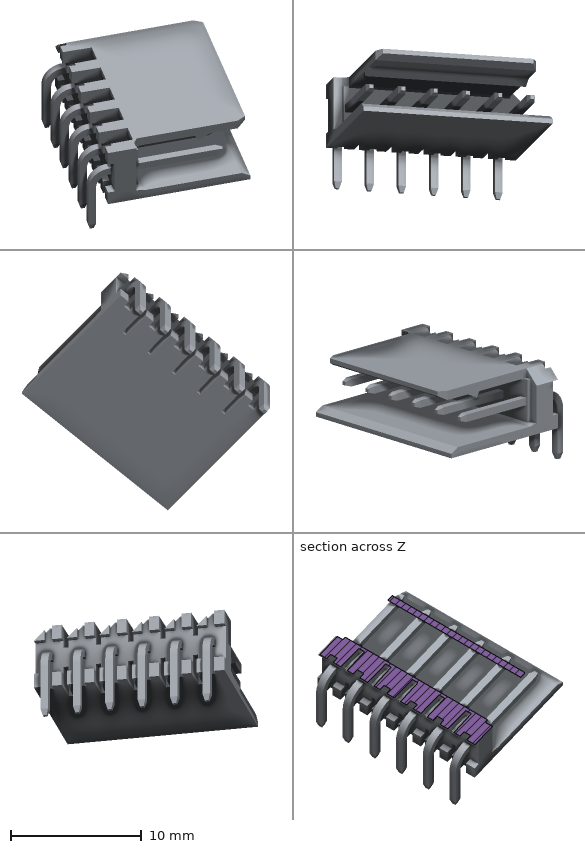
import cadquery as cq
import math


width = 14.94
height = 5.0
length = 11.3
half_width = width / 2

wall_rear = 0.52
wall_front = 2.27
pad_front = 2.57
pad_inset = 0.69
pad_bottom = 0.85

plate_thickness = 0.75
plate_root_end = 2.9
plate_inset = 1.14
lead_in_length = 0.69
tip_thickness = 0.36
corner_cut = 0.4
plate_underside = height - plate_thickness

barb_rear = 7.23
barb_tip = 7.51
barb_front = 8.44
barb_depth = 0.46

flange_height = 1.14
slot_rear_width = 0.42
slot_draft_degrees = 1.0
slot_depth = 1.7
bevel = 1.14
slot_taper = wall_front * math.tan(math.radians(slot_draft_degrees))

pin_count = 6
pitch = 2.54
pin_size = 0.6
pin_front = 9.4
pin_rear = -1.31
pin_bottom = -2.9
bend_radius = 1.63
point_length = 0.51
point_size = 0.3
pin_top = height / 2 + pin_size / 2
pin_positions = [(i - (pin_count - 1) / 2) * pitch for i in range(pin_count)]
slot_positions = [x + pitch / 2 for x in pin_positions[:-1]]


def block(x_range, y_range, z_range):
    """Axis-aligned box between pairs of limits."""
    (x0, x1), (y0, y1), (z0, z1) = x_range, y_range, z_range
    return cq.Workplane("XY").box(x1 - x0, y1 - y0, z1 - z0, centered=False).translate((x0, y0, z0))


def side_extrude(points, half_span):
    """Extrude a (Y, Z) outline symmetrically along X."""
    return cq.Workplane("YZ").polyline(points).close().extrude(half_span, both=True)


def make_lower_plate():
    return side_extrude(
        [
            (wall_front, 0),
            (length, 0),
            (length, tip_thickness),
            (length - lead_in_length, plate_thickness),
            (plate_root_end, plate_thickness),
            (pad_front, pad_bottom),
            (wall_front, pad_bottom),
        ],
        half_width,
    )


def make_upper_plate():
    root_underside = height - pad_bottom
    plate = side_extrude(
        [
            (wall_front, height),
            (length, height),
            (length, height - tip_thickness),
            (length - lead_in_length, plate_underside),
            (barb_front, plate_underside),
            (barb_tip, plate_underside - barb_depth),
            (barb_rear, plate_underside),
            (plate_root_end, plate_underside),
            (pad_front, root_underside),
            (wall_front, root_underside),
        ],
        half_width,
    )
    edge = half_width - plate_inset
    plan = (
        cq.Workplane("XY")
        .polyline(
            [
                (-edge, wall_front),
                (half_width - pad_inset, wall_front),
                (edge, pad_front),
                (edge, length - lead_in_length),
                (edge - corner_cut, length),
                (corner_cut - edge, length),
                (-edge, length - lead_in_length),
            ]
        )
        .close()
        .extrude(height)
    )
    return plate.intersect(plan)


def make_wall():
    full_x = (-half_width, half_width)
    pad_x = (pad_inset - half_width, half_width - pad_inset)
    wall = block(full_x, (wall_rear, wall_front), (0, height))
    pad = block(pad_x, (wall_front, pad_front), (pad_bottom, plate_underside))
    lower_flange = block(full_x, (0, wall_rear), (0, flange_height))
    upper_flange = block(full_x, (0, wall_rear), (height - flange_height, height))
    return wall.union(pad).union(lower_flange).union(upper_flange)


def make_bevel_cutter(rear_x, front_x):
    """Prism that leaves a 45 degree slope towards +X; its low edge runs from rear_x to front_x."""
    return (
        cq.Workplane("XZ")
        .polyline([(rear_x, height - bevel), (rear_x + bevel, height), (rear_x, height)])
        .close()
        .workplane(offset=-wall_front)
        .polyline([(front_x, height - bevel), (front_x + bevel, height), (front_x, height)])
        .close()
        .loft(ruled=True, combine=True)
    )


def make_slot_cutter(x):
    """Upper and lower slots between two pins, with the bevel beside the upper one."""
    rear_half = slot_rear_width / 2
    front_half = rear_half - slot_taper
    slot = (
        cq.Workplane("XY")
        .polyline(
            [
                (x - rear_half, 0),
                (x + rear_half, 0),
                (x + front_half, wall_front),
                (x - front_half, wall_front),
            ]
        )
        .close()
        .extrude(slot_depth)
    )
    upper_slot = slot.translate((0, 0, height - slot_depth))
    return slot.union(upper_slot).union(make_bevel_cutter(x + rear_half, x + front_half))


def make_flange_gap(x):
    """Gap through both flanges behind a pin."""
    return block((x - pin_size / 2, x + pin_size / 2), (0, wall_rear), (0, height))


def make_point(plane):
    """Tapered pin end that starts on the plane and narrows along the plane normal."""
    return (
        cq.Workplane(plane)
        .rect(pin_size, pin_size)
        .workplane(offset=point_length)
        .rect(point_size, point_size)
        .loft(combine=True)
    )


def make_pin():
    """Square pin at X = 0, bent down through 90 degrees behind the housing."""
    shaft_end = pin_front - point_length
    leg_end = pin_bottom + point_length
    pin_underside = pin_top - pin_size
    leg_front = pin_rear + pin_size
    bend_y = pin_rear + bend_radius
    bend_z = pin_top - bend_radius
    inner_radius = bend_radius - pin_size
    shank = (
        cq.Workplane("YZ")
        .moveTo(shaft_end, pin_top)
        .lineTo(bend_y, pin_top)
        .radiusArc((pin_rear, bend_z), -bend_radius)
        .lineTo(pin_rear, leg_end)
        .lineTo(leg_front, leg_end)
        .lineTo(leg_front, bend_z)
        .radiusArc((bend_y, pin_underside), inner_radius)
        .lineTo(shaft_end, pin_underside)
        .close()
        .extrude(pin_size / 2, both=True)
    )
    front_plane = cq.Plane(origin=(0, shaft_end, height / 2), xDir=(1, 0, 0), normal=(0, 1, 0))
    lower_plane = cq.Plane(
        origin=(0, pin_rear + pin_size / 2, leg_end), xDir=(1, 0, 0), normal=(0, 0, -1)
    )
    return shank.union(make_point(front_plane)).union(make_point(lower_plane))


result = make_wall().union(make_lower_plate()).union(make_upper_plate())
result = result.cut(make_bevel_cutter(-half_width, -half_width))
for slot_x in slot_positions:
    result = result.cut(make_slot_cutter(slot_x))
for pin_x in pin_positions:
    result = result.cut(make_flange_gap(pin_x))

pin = make_pin()
for pin_x in pin_positions:
    result = result.union(pin.translate((pin_x, 0, 0)))